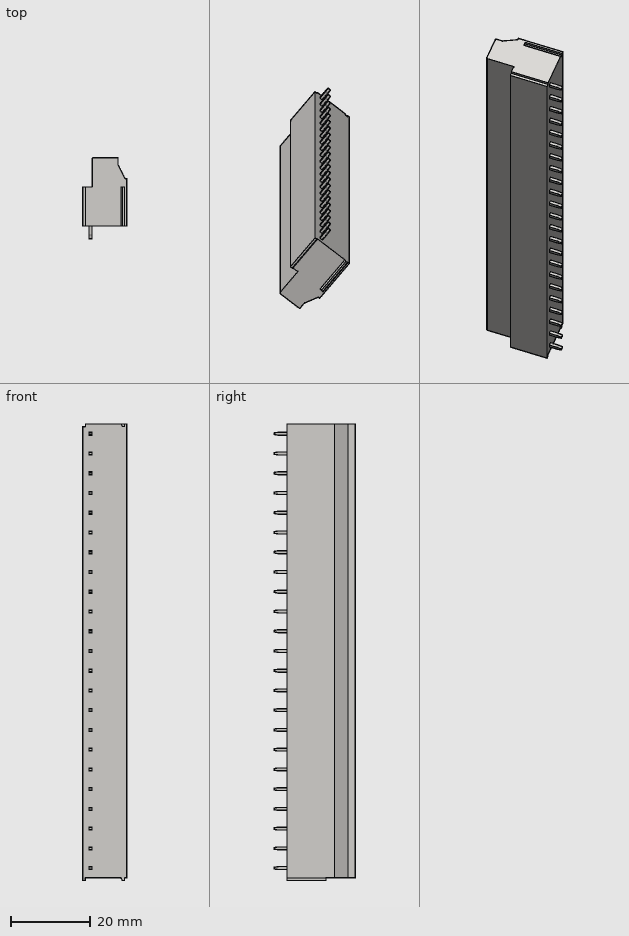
import cadquery as cq

total_length = 115.6
lip_height = 0.7
body_length = total_length - lip_height
body_width = 11.2
body_depth = 17.3
base_depth = 10.0

pin_count = 23
pin_pitch = body_length / pin_count
pin_width = 0.8
pin_length = 3.2
pin_left = 1.6
pin_tip_length = 1.0
pin_tip_width = 0.5

back_left = 2.4
back_right = 9.0
slope_start = 15.5
slope_end = 12.0
slope_right = 10.8
back_chamfer = 0.2

lip_width = 0.7
rib_left = 9.7
rib_tip_left = 10.1
rib_right = 10.6


def make_body():
    outline = [
        (0, 0),
        (body_width, 0),
        (body_width, slope_end),
        (slope_right, slope_end),
        (back_right, slope_start),
        (back_right, body_depth),
        (back_left + back_chamfer, body_depth),
        (back_left, body_depth - back_chamfer),
        (back_left, base_depth),
        (0, base_depth),
    ]
    return cq.Workplane("XY").polyline(outline).close().extrude(body_length)


def make_lip(bottom):
    lip = cq.Workplane("XY").box(lip_width, base_depth, lip_height, centered=False)
    return lip.translate((0, 0, bottom))


def make_rib(bottom):
    section = [
        (rib_left, bottom + lip_height),
        (rib_tip_left, bottom),
        (rib_right, bottom),
        (rib_right, bottom + lip_height),
    ]
    return cq.Workplane("XZ").polyline(section).close().extrude(-base_depth)


def make_pin(z):
    shank_length = pin_length - pin_tip_length
    shank = cq.Workplane("XZ").rect(pin_width, pin_width).extrude(shank_length)
    tip = shank.faces("<Y").workplane().rect(pin_width, pin_width)
    tip = tip.workplane(offset=pin_tip_length).rect(pin_width, pin_tip_width).loft(combine=True)
    return tip.translate((pin_left + pin_width / 2, 0, z))


result = make_body()
for make_joint in (make_lip, make_rib):
    result = result.union(make_joint(-lip_height))
    result = result.cut(make_joint(body_length - lip_height))

first_pin_z = pin_pitch / 2
for index in range(pin_count):
    result = result.union(make_pin(first_pin_z + index * pin_pitch))

result = result.translate((0, 0, lip_height))